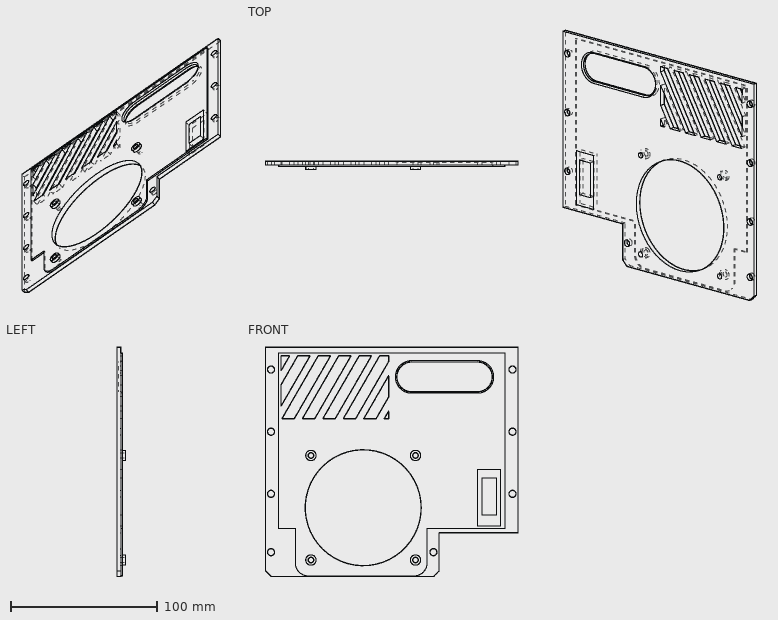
import cadquery as cq
import math

plate_width = 172.5
plate_height = 156.8
total_depth = 5.9
plate_thickness = 2.8
raised_height = 1.0
panel_thickness = plate_thickness + raised_height
lower_width = 118.7
step_height = 29.9
corner_chamfer = 4.0

field_side_margin = 9.0
field_right = plate_width - field_side_margin
field_top = 152.7
field_bottom = 32.8
tongue_left = 20.4
tongue_right = 110.5
tongue_bottom = 0.5
tongue_radius = 9.0

mount_diameter = 4.7
mount_inset = 3.8
mount_top = 141.5
mount_pitch = 42.5
mount_rows = 3
mount_low_z = 16.7
mount_low_right_x = 114.7

fan_x = 66.8
fan_z = 47.1
fan_diameter = 79.0
fan_screw_spacing = 71.5
boss_diameter = 7.0
boss_hole_diameter = 3.6

vent_left = 10.7
vent_right = 84.2
vent_bottom = 108.0
vent_top = 150.8
slat_angle = 60.0
slot_pitch = 14.0
slot_width = 8.3
first_slot_x = 11.4
slots_before_first = 2
slots_from_first = 6

handle_x = 122.3
handle_z = 136.5
handle_length = 65.0
handle_height = 20.2
handle_chamfer = 1.0
handle_chamfer_angle = 45

frame_left = 145.0
frame_bottom = 34.5
frame_width = 15.5
frame_height = 38.8
rocker_left = 147.9
rocker_bottom = 42.3
rocker_width = 9.8
rocker_height = 25.0


def front_sketch():
    """XZ workplane on the back face; positive extrusion runs toward the front."""
    return cq.Workplane("XZ")


def block(left, bottom, width, height):
    """Rectangular block through the full panel thickness."""
    return (
        front_sketch()
        .center(left + width / 2, bottom + height / 2)
        .rect(width, height)
        .extrude(panel_thickness)
    )


def make_plate():
    outline = [
        (corner_chamfer, 0),
        (lower_width - corner_chamfer, 0),
        (lower_width, corner_chamfer),
        (lower_width, step_height),
        (plate_width, step_height),
        (plate_width, plate_height),
        (0, plate_height),
        (0, corner_chamfer),
    ]
    return front_sketch().polyline(outline).close().extrude(plate_thickness)


def make_raised_field():
    outline = [
        (tongue_left, tongue_bottom),
        (tongue_right, tongue_bottom),
        (tongue_right, field_bottom),
        (field_right, field_bottom),
        (field_right, field_top),
        (field_side_margin, field_top),
        (field_side_margin, field_bottom),
        (tongue_left, field_bottom),
    ]
    field = front_sketch().polyline(outline).close().extrude(panel_thickness)
    return field.edges("|Y").edges("<Z").fillet(tongue_radius)


def fan_screw_circles(diameter, depth):
    """Four cylinders on the fan's screw pattern."""
    return (
        front_sketch()
        .center(fan_x, fan_z)
        .rect(fan_screw_spacing, fan_screw_spacing, forConstruction=True)
        .vertices()
        .circle(diameter / 2)
        .extrude(depth)
    )


def make_mount_holes():
    points = [(mount_inset, mount_low_z), (mount_low_right_x, mount_low_z)]
    for row in range(mount_rows):
        z = mount_top - row * mount_pitch
        points += [(mount_inset, z), (plate_width - mount_inset, z)]
    return front_sketch().pushPoints(points).circle(mount_diameter / 2).extrude(panel_thickness)


def make_fan_opening():
    return front_sketch().center(fan_x, fan_z).circle(fan_diameter / 2).extrude(panel_thickness)


def make_vent_slots():
    """Slanted slots, trimmed to the rectangular vent area."""
    window = block(vent_left, vent_bottom, vent_right - vent_left, vent_top - vent_bottom)
    height = vent_top - vent_bottom
    lean = height / math.tan(math.radians(slat_angle))
    slots = front_sketch()
    for index in range(-slots_before_first, slots_from_first):
        x = first_slot_x + index * slot_pitch
        outline = [
            (x, vent_bottom),
            (x + slot_width, vent_bottom),
            (x + slot_width + lean, vent_top),
            (x + lean, vent_top),
        ]
        slots = slots.add(front_sketch().polyline(outline).close().extrude(panel_thickness))
    return slots.combine().intersect(window)


def make_handle_opening():
    opening = (
        front_sketch()
        .center(handle_x, handle_z)
        .slot2D(handle_length, handle_height)
        .extrude(panel_thickness)
    )
    rim_length = handle_length + 2 * handle_chamfer
    rim_height = handle_height + 2 * handle_chamfer
    for face, inward in [(0, handle_chamfer), (panel_thickness, -handle_chamfer)]:
        rim = (
            front_sketch()
            .workplane(offset=face)
            .center(handle_x, handle_z)
            .slot2D(rim_length, rim_height)
            .extrude(inward, taper=handle_chamfer_angle)
        )
        opening = opening.union(rim)
    return opening


def make_panel():
    panel = make_plate().union(make_raised_field())
    panel = panel.union(fan_screw_circles(boss_diameter, total_depth))
    panel = panel.cut(fan_screw_circles(boss_hole_diameter, total_depth))
    panel = panel.cut(make_mount_holes())
    panel = panel.cut(make_fan_opening())
    panel = panel.cut(make_vent_slots())
    panel = panel.cut(make_handle_opening())
    return panel.cut(block(frame_left, frame_bottom, frame_width, frame_height))


def make_switch_rocker():
    return block(rocker_left, rocker_bottom, rocker_width, rocker_height)


def make_switch_frame():
    return block(frame_left, frame_bottom, frame_width, frame_height).cut(make_switch_rocker())


panel = make_panel()
switch_frame = make_switch_frame()
switch_rocker = make_switch_rocker()

result = cq.Compound.makeCompound([panel.val(), switch_frame.val(), switch_rocker.val()])